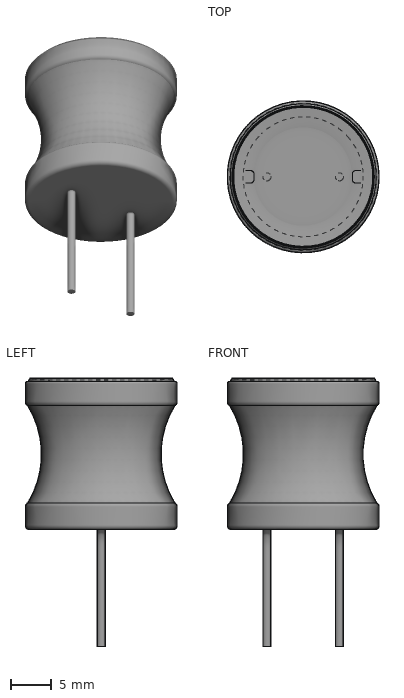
import cadquery as cq
import math

total_height = 33.1
body_height = 18.65
body_radius = 9.35
body_bottom = total_height - body_height
waist_drop = 0.05
waist_middle = body_bottom + body_height / 2 - waist_drop

waist_radius = 7.38
waist_half_height = 6.0
waist_end_radius = 9.07
flange_inner_half_height = 6.5

bottom_round = 0.5
top_round_drop = 0.73
bevel_drop = 0.4
bevel_base_radius = 9.0
bevel_top_radius = 8.77

dish_radius = 8.57
lip_radius = 8.67
floor_radius = 6.05
dish_depth = 0.25
lip_drop = 0.1
floor_z = total_height - lip_drop - dish_depth

pad_width = 1.55
pad_end_radius = 7.1
pad_corner = 0.45
pad_inner_height = 0.1

pin_diameter = 1.0
pin_spacing = 8.95


def arc_middle(start, end, bulge_center):
    """Midpoint of the arc from start to end about bulge_center."""
    radius = math.dist(start, bulge_center)
    dx = (start[0] + end[0]) / 2 - bulge_center[0]
    dz = (start[1] + end[1]) / 2 - bulge_center[1]
    length = math.hypot(dx, dz)
    return (bulge_center[0] + radius * dx / length, bulge_center[1] + radius * dz / length)


def tangent_round(wall_z, end):
    """Midpoint of an arc that leaves the flange wall vertically and stops at end."""
    inset = body_radius - end[0]
    rise = end[1] - wall_z
    radius = (inset**2 + rise**2) / (2 * inset)
    return arc_middle((body_radius, wall_z), end, (body_radius - radius, wall_z))


def make_body():
    """Spool-shaped body with a concave waist and a dished top."""
    lower_wall_end = waist_middle - flange_inner_half_height
    upper_wall_start = waist_middle + flange_inner_half_height
    upper_wall_end = total_height - top_round_drop
    waist_low = (waist_end_radius, waist_middle - waist_half_height)
    waist_high = (waist_end_radius, waist_middle + waist_half_height)
    bottom_edge = (body_radius - bottom_round, body_bottom)
    bottom_wall = (body_radius, body_bottom + bottom_round)
    bottom_center = (body_radius - bottom_round, body_bottom + bottom_round)
    bevel_base = (bevel_base_radius, total_height - bevel_drop)
    profile = (
        cq.Workplane("XZ")
        .moveTo(0, body_bottom)
        .lineTo(*bottom_edge)
        .threePointArc(arc_middle(bottom_edge, bottom_wall, bottom_center), bottom_wall)
        .lineTo(body_radius, lower_wall_end)
        .threePointArc(tangent_round(lower_wall_end, waist_low), waist_low)
        .threePointArc((waist_radius, waist_middle), waist_high)
        .threePointArc(tangent_round(upper_wall_start, waist_high), (body_radius, upper_wall_start))
        .lineTo(body_radius, upper_wall_end)
        .threePointArc(tangent_round(upper_wall_end, bevel_base), bevel_base)
        .lineTo(bevel_top_radius, total_height)
        .lineTo(lip_radius, total_height)
        .lineTo(dish_radius, total_height - lip_drop)
        .lineTo(floor_radius, floor_z)
        .lineTo(0, floor_z)
        .close()
    )
    body = profile.revolve(360, (0, 0, 0), (0, 1, 0))
    for side in (-1, 1):
        body = body.union(make_pad(side))
    return body


def make_pad(side):
    """Low wedge on the dish slope, with its two inner corners rounded."""
    slope = dish_depth / (dish_radius - floor_radius)
    end_z = floor_z + slope * (pad_end_radius - floor_radius)
    pad_root = floor_z - dish_depth
    return (
        cq.Workplane("XZ")
        .moveTo(side * floor_radius, pad_root)
        .lineTo(side * pad_end_radius, pad_root)
        .lineTo(side * pad_end_radius, end_z)
        .lineTo(side * floor_radius, floor_z + pad_inner_height)
        .close()
        .extrude(pad_width / 2, both=True)
        .edges("|Z")
        .edges(">X" if side < 0 else "<X")
        .fillet(pad_corner)
    )


def make_pin(x):
    """Straight round lead that ends at the underside of the body."""
    return cq.Workplane("XY", origin=(x, 0, 0)).circle(pin_diameter / 2).extrude(body_bottom)


body = make_body()
pins = [make_pin(side * pin_spacing / 2) for side in (-1, 1)]

result = cq.Compound.makeCompound([body.val(), *[pin.val() for pin in pins]])